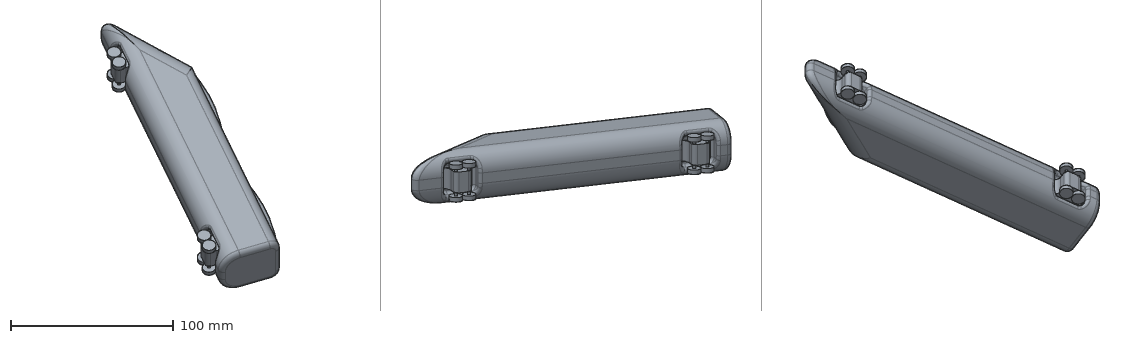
import cadquery as cq
import math


length = 210.7
height = 40
half_width = 16.6
belly_radius = 13.3
roof_radius = 7.0
tail_radius = 3.4
flat_half_width = half_width - belly_radius

hood_floor_x = -8.2
hood_roof_x = 51.0
hood_angle = math.atan2(height, hood_roof_x - hood_floor_x)
hood_radius = belly_radius
nose_plan_length = 30.3
nose_radius = 3.5

windscreen_distance = 49.5
windscreen_half_length = 10.3
windscreen_half_width = 6.5
windscreen_rise = 1.3
windscreen_edge_height = 1.0
windscreen_edge_inset = 1.7

hump_centers_x = (81.3, 176.1)
hump_half_length = 28.5
hump_height = 3.8
hump_half_width = 8.0
hump_edge_radius = 3.0

bogie_centers_x = (31.8, 189.2)
recess_depth = 8.0
recess_half_length = 11.4
recess_half_width = 10.1
recess_corner_radius = 4.2
recess_ceiling_radius = 2.1
recess_mouth_radius = 2.1

wheel_radius = 4.2
wheel_spacing = 8.6
wheel_inner_z = 9.0
wheel_outer_z = 12.0
axle_y = -0.8
axle_radius = 0.95
frame_half_length = 6.0
frame_half_width = 6.7
frame_bottom_y = -3.2
frame_corner_radius = 2.7
frame_flare_radius = 4.6

overlap = 2.1
clearance = 2.1


def rounded_section(bottom, top, bottom_radius, top_radius):
    """Section of the full body width with rounded corners."""
    section = cq.Sketch().push([(0, (bottom + top) / 2)]).rect(2 * half_width, top - bottom).reset()
    section = section.vertices("<Y").fillet(bottom_radius).reset()
    return section.vertices(">Y").fillet(top_radius)


def hood_direction():
    return cq.Vector(math.cos(hood_angle), math.sin(hood_angle), 0)


def hood_point(distance):
    """Point on the hood's centre line, measured up from its floor line."""
    return cq.Vector(hood_floor_x, 0, 0) + hood_direction() * distance


def make_barrel():
    """The straight body, with its roof and belly corners rounded."""
    end_plane = cq.Plane(origin=(0, 0, 0), xDir=(0, 0, -1), normal=(1, 0, 0))
    section = rounded_section(0, height, belly_radius, roof_radius)
    return cq.Workplane(end_plane).placeSketch(section).extrude(length)


def make_hood_envelope():
    """Round-shouldered bar along the hood slope, deep enough to hold the whole body below it."""
    start_plane = cq.Plane(origin=hood_point(-length), xDir=(0, 0, -1), normal=hood_direction())
    section = rounded_section(-2 * length, 0, roof_radius, hood_radius)
    return cq.Workplane(start_plane).placeSketch(section).extrude(4 * length)


def make_plan_envelope():
    """Plan outline of the body: a short blunt tip with a quarter ellipse on each side."""
    half = (
        cq.Workplane("XZ", origin=(0, -clearance, 0))
        .moveTo(length, 0)
        .lineTo(0, 0)
        .lineTo(0, flat_half_width)
        .ellipseArc(nose_plan_length, belly_radius, 90, 180, sense=-1)
        .lineTo(length, half_width)
        .close()
        .extrude(-height - 2 * clearance)
    )
    return half.union(half.mirror("XY")).clean()


def make_shell():
    shell = make_barrel().intersect(make_hood_envelope()).intersect(make_plan_envelope())
    shell = shell.faces(">X").edges().fillet(tail_radius)
    return shell.faces("<X").edges("|Z").fillet(nose_radius)


def make_windscreen():
    hood_normal = cq.Vector(-math.sin(hood_angle), math.cos(hood_angle), 0)
    base = hood_point(windscreen_distance) - hood_normal * overlap
    return (
        cq.Workplane(cq.Plane(origin=base, xDir=hood_direction(), normal=hood_normal))
        .ellipse(windscreen_half_length, windscreen_half_width)
        .extrude(overlap + windscreen_rise)
        .faces(cq.selectors.DirectionMinMaxSelector(hood_normal))
        .edges()
        .chamfer(windscreen_edge_height, windscreen_edge_inset)
    )


def make_hump(center_x):
    """Shallow arched fairing on the roof, with its two long edges rounded."""
    arch_radius = (hump_half_length**2 + hump_height**2) / (2 * hump_height)
    arch_center_y = height + hump_height - arch_radius
    arch = (
        cq.Workplane("XY", origin=(center_x, arch_center_y, -hump_half_width))
        .circle(arch_radius)
        .extrude(2 * hump_half_width)
        .edges()
        .fillet(hump_edge_radius)
    )
    above_roof = (
        cq.Workplane("XY")
        .box(2 * hump_half_length, hump_height + overlap, 2 * hump_half_width)
        .translate((center_x, height + (hump_height - overlap) / 2, 0))
    )
    return arch.intersect(above_roof)


def make_recess(center_x):
    """Pocket in the belly with rounded corners and a rounded ceiling rim."""
    return (
        cq.Workplane("XY")
        .box(2 * recess_half_length, recess_depth + clearance, 2 * recess_half_width)
        .edges("|Y")
        .fillet(recess_corner_radius)
        .faces(">Y")
        .edges()
        .fillet(recess_ceiling_radius)
        .translate((center_x, (recess_depth - clearance) / 2, 0))
    )


def mouth_rim(center_x):
    """Selector for the recess's rim on the belly, found by its flat stretches on the floor."""
    reach = recess_half_length + clearance
    return cq.selectors.BoxSelector(
        (center_x - reach, -clearance, -flat_half_width),
        (center_x + reach, clearance, flat_half_width),
    )


def bar_across(x, radius, inner_z, outer_z):
    """Round bar along Z at axle height."""
    return (
        cq.Workplane("XY", origin=(x, axle_y, inner_z))
        .circle(radius)
        .extrude(outer_z - inner_z)
    )


def make_frame(center_x):
    """Bogie block hanging from the recess ceiling, rounded below and flared out above."""
    shoulder_y = frame_bottom_y + frame_corner_radius
    flare_half_length = frame_half_length + frame_flare_radius
    return (
        cq.Workplane("XY", origin=(center_x, 0, -frame_half_width))
        .moveTo(frame_corner_radius - frame_half_length, frame_bottom_y)
        .lineTo(frame_half_length - frame_corner_radius, frame_bottom_y)
        .radiusArc((frame_half_length, shoulder_y), -frame_corner_radius)
        .lineTo(frame_half_length, recess_depth - frame_flare_radius)
        .radiusArc((flare_half_length, recess_depth), frame_flare_radius)
        .lineTo(flare_half_length, recess_depth + overlap)
        .lineTo(-flare_half_length, recess_depth + overlap)
        .lineTo(-flare_half_length, recess_depth)
        .radiusArc((-frame_half_length, recess_depth - frame_flare_radius), frame_flare_radius)
        .lineTo(-frame_half_length, shoulder_y)
        .radiusArc((frame_corner_radius - frame_half_length, frame_bottom_y), -frame_corner_radius)
        .close()
        .extrude(2 * frame_half_width)
    )


def make_bogie(center_x):
    bogie = make_frame(center_x)
    for side in (-1, 1):
        x = center_x + side * wheel_spacing / 2
        bogie = bogie.union(bar_across(x, axle_radius, -wheel_inner_z, wheel_inner_z))
        bogie = bogie.union(bar_across(x, wheel_radius, wheel_inner_z, wheel_outer_z))
        bogie = bogie.union(bar_across(x, wheel_radius, -wheel_outer_z, -wheel_inner_z))
    return bogie


result = make_shell()
for bogie_x in bogie_centers_x:
    result = result.cut(make_recess(bogie_x))
    result = result.edges(mouth_rim(bogie_x)).edges("|Z").fillet(recess_mouth_radius)
for hump_x in hump_centers_x:
    result = result.union(make_hump(hump_x))
result = result.union(make_windscreen())
for bogie_x in bogie_centers_x:
    result = result.union(make_bogie(bogie_x))